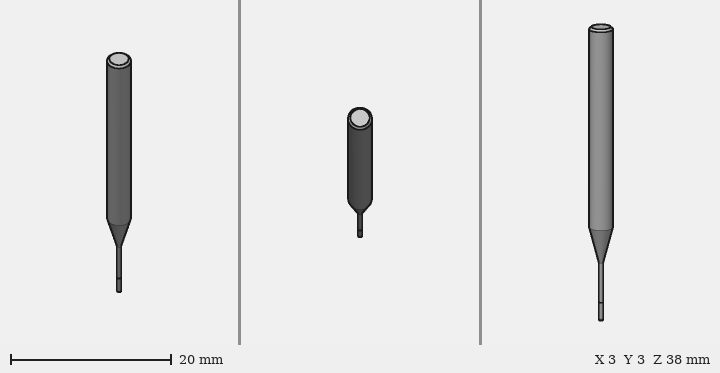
import cadquery as cq

overall_length = 38.0
shank_diameter = 3.0
shank_chamfer = 0.3
cutter_diameter = 0.6
neck_diameter = 0.57
cutter_length = 2.4
neck_top = 7.52
cone_top = 12.1

shank_radius = shank_diameter / 2
cutter_radius = cutter_diameter / 2
neck_radius = neck_diameter / 2


def make_cutter():
    """Cylindrical cutting head with a hemispherical tip."""
    half_chord = cutter_radius * 0.5 ** 0.5
    return (
        cq.Workplane("XZ")
        .moveTo(0, 0)
        .threePointArc((half_chord, cutter_radius - half_chord), (cutter_radius, cutter_radius))
        .lineTo(cutter_radius, cutter_length)
        .lineTo(0, cutter_length)
        .close()
        .revolve(360, (0, 0), (0, 1))
    )


def make_holder():
    """Slim neck, cone and chamfered shank, standing on the cutting head."""
    return (
        cq.Workplane("XZ")
        .moveTo(0, cutter_length)
        .lineTo(neck_radius, cutter_length)
        .lineTo(neck_radius, neck_top)
        .lineTo(shank_radius, cone_top)
        .lineTo(shank_radius, overall_length)
        .lineTo(0, overall_length)
        .close()
        .revolve(360, (0, 0), (0, 1))
        .faces(">Z")
        .chamfer(shank_chamfer)
    )


cutter = make_cutter()
holder = make_holder()

result = cq.Compound.makeCompound([cutter.val(), holder.val()])